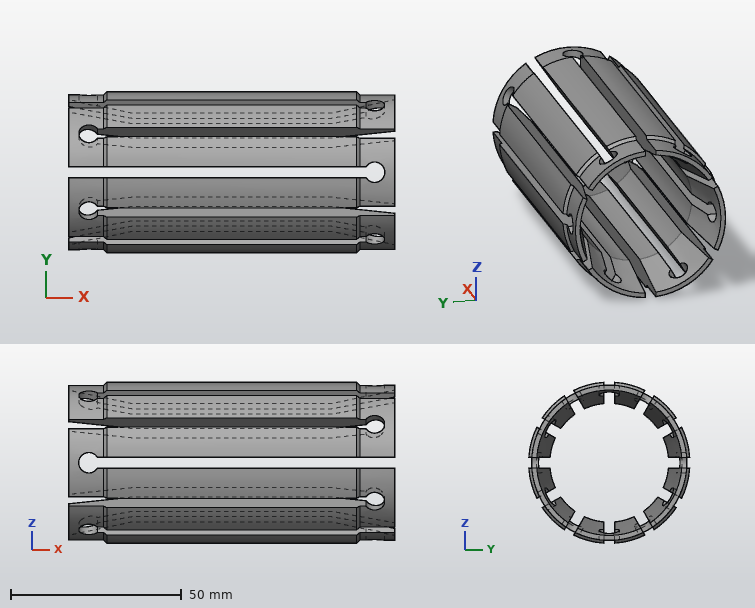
import cadquery as cq

length = 95.5
half_length = length / 2
body_radius = 47.3 / 2

collar_radius = 45.5 / 2
collar_length = 10.2
shoulder_length = 1.0

bore_radius = 17.4
mouth_radius = 21.3
flare_length = 18.6

slot_count = 12
slot_width = 3.15
relief_diameter = 5.9
relief_end_distance = 5.9
cutter_clearance = 1.0


def make_sleeve():
    """Revolve the wall section (x along the axis, y as radius) about X."""
    shoulder_foot = half_length - collar_length
    shoulder_top = shoulder_foot - shoulder_length
    flare_end = half_length - flare_length
    section = [
        (-half_length, mouth_radius),
        (-half_length, collar_radius),
        (-shoulder_foot, collar_radius),
        (-shoulder_top, body_radius),
        (shoulder_top, body_radius),
        (shoulder_foot, collar_radius),
        (half_length, collar_radius),
        (half_length, mouth_radius),
        (flare_end, bore_radius),
        (-flare_end, bore_radius),
    ]
    return cq.Workplane("XY").polyline(section).close().revolve(360, (0, 0, 0), (1, 0, 0))


def make_keyhole(open_side):
    """Cutter through the +Z wall; open_side is +1 or -1, the X end where the slot runs out."""
    cut_height = body_radius + cutter_clearance
    relief_x = -open_side * (half_length - relief_end_distance)
    slot_length = length - relief_end_distance
    slot_center = relief_x + open_side * slot_length / 2
    slot = cq.Workplane("XY").center(slot_center, 0).rect(slot_length, slot_width).extrude(cut_height)
    relief = cq.Workplane("XY").center(relief_x, 0).circle(relief_diameter / 2).extrude(cut_height)
    return slot.union(relief)


result = make_sleeve()
for index in range(slot_count):
    open_side = -1 if index % 2 == 0 else 1
    angle = index * 360 / slot_count
    result = result.cut(make_keyhole(open_side).rotate((0, 0, 0), (1, 0, 0), angle))